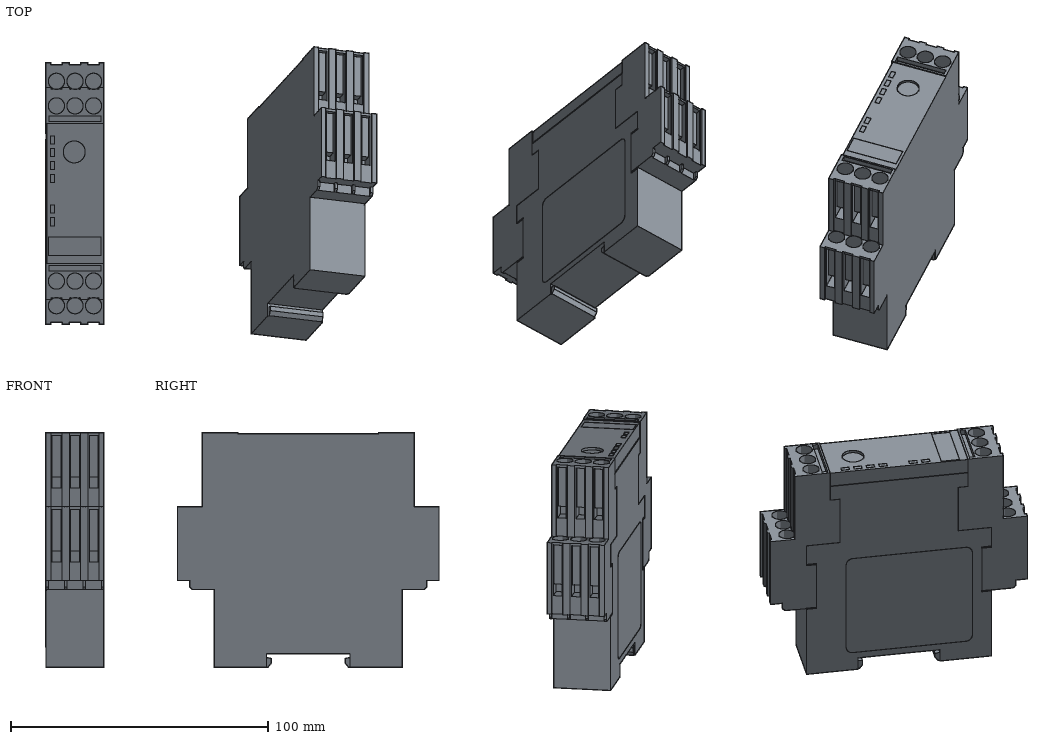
import cadquery as cq

WIDTH = 22.6
LENGTH = 101.6
HEIGHT = 91.1
LEFT = -WIDTH / 2
RIGHT = WIDTH / 2

HOUSING_INSET = 0.1
HOUSING_HALF = 36.6
HOUSING_TOP = 84.8

COVER_INSET = 0.4
COVER_HALF = 27.2
COVER_TOP = 90.7

UPPER_FACE = 41.2
UPPER_FOOT_INNER = 23.4
UPPER_FOOT_TOP = 78.6
UPPER_BOTTOM = 58.8
LOWER_FACE = LENGTH / 2
LOWER_TOP = 62.4
LOWER_INNER = HOUSING_HALF
LOWER_FOOT_INNER = 32.7
LOWER_FOOT_TOP = 49.8
LOWER_BOTTOM = 30.2
PLUG_GAP = 0.4
PLUG_GAP_DEPTH = 0.3

LIP_FACE = 46.1
LIP_TOP = 33.6
LIP_CHAMFER = 1.0
LIP_RECESS_WIDTH = 6.3
LIP_RECESS_DEPTH = 1.4

POLE_PITCH = 7.2
POLE_CENTRE = 0.1
POLES = [POLE_CENTRE - POLE_PITCH, POLE_CENTRE, POLE_CENTRE + POLE_PITCH]
SCREW_DIAMETER = 6.3
SCREW_SETBACK = 7.2
SCREW_DEPTH = 10.2
GROOVE_WIDTH = 4.4
GROOVE_DEPTH = 0.7
SLOT_WIDTH = 3.4
SLOT_DEPTH = 2.0
SLOT_TOP_DROP = 1.0
ENTRY_TOP_DROP = 17.3
ENTRY_BOTTOM_DROP = 21.4
ENTRY_DEPTH = 6.1

TOP_SLOT_WIDTH = 20.1
TOP_SLOT_INNER = 28.0
TOP_SLOT_OUTER = 30.2
TOP_SLOT_DEPTH = 2.0

MARK_DEPTH = 0.1
BUTTON_X = -0.2
BUTTON_Y = 16.2
BUTTON_DIAMETER = 8.5
BUTTON_DEPTH = 1.0
LED_X = -8.6
LED_WIDTH = 1.7
LED_LENGTH = 3.1
LED_PITCH = 5.0
LED_ROWS = [(20.8, 4), (-6.0, 2)]
LABEL_WIDTH = 20.4
LABEL_Y_MIN = -24.1
LABEL_Y_MAX = -16.9

PANEL_Y_MIN = -29.0
PANEL_Y_MAX = 20.9
PANEL_Z_MIN = 7.9
PANEL_Z_MAX = 50.9
PANEL_RADIUS = 2.6

RAIL_HALF = 16.2
RAIL_DEPTH = 5.2
HOOK_TIP = 14.3
HOOK_INSET = 0.5
HOOK_WALL_Z = 3.9
HOOK_TIP_TOP = 3.5
HOOK_TIP_BOTTOM = 1.6
HOOK_BASE = 15.6


def box(x_min, x_max, y_min, y_max, z_min, z_max):
    """Box given by its limits along each axis."""
    size = (x_max - x_min, y_max - y_min, z_max - z_min)
    return cq.Workplane("XY").box(*size, centered=False).translate((x_min, y_min, z_min))


def centred_box(x_centre, width, y_min, y_max, z_min, z_max):
    """Box centred on x_centre along X."""
    return box(x_centre - width / 2, x_centre + width / 2, y_min, y_max, z_min, z_max)


def side_profile(points, x_min, x_max):
    """Closed (Y, Z) outline extruded from x_min to x_max."""
    return cq.Workplane("YZ").workplane(offset=x_min).polyline(points).close().extrude(x_max - x_min)


def both_ends(shape):
    """The shape of the +Y end together with its mirror image at the -Y end."""
    return shape.union(shape.mirror("XZ"))


def make_housing():
    left = LEFT + HOUSING_INSET
    body = box(left, RIGHT, -HOUSING_HALF, HOUSING_HALF, 0, HOUSING_TOP)
    rail = box(left, RIGHT, -RAIL_HALF, RAIL_HALF, 0, RAIL_DEPTH)
    return body.cut(rail)


def make_hook():
    points = [
        (HOUSING_HALF, 0),
        (HOUSING_HALF, HOOK_WALL_Z),
        (RAIL_HALF, HOOK_WALL_Z),
        (HOOK_TIP, HOOK_TIP_TOP),
        (HOOK_TIP, HOOK_TIP_BOTTOM),
        (HOOK_BASE, 0),
    ]
    return side_profile(points, LEFT + HOOK_INSET, RIGHT - HOOK_INSET)


def make_cover():
    cover = box(LEFT + COVER_INSET, RIGHT, -COVER_HALF, COVER_HALF, HOUSING_TOP, COVER_TOP)
    button = (
        cq.Workplane("XY", origin=(BUTTON_X, BUTTON_Y, COVER_TOP))
        .circle(BUTTON_DIAMETER / 2)
        .extrude(-BUTTON_DEPTH)
    )
    cover = cover.cut(button)
    mark_floor = COVER_TOP - MARK_DEPTH
    for first_y, count in LED_ROWS:
        for index in range(count):
            y_min = first_y - index * LED_PITCH - LED_LENGTH / 2
            cover = cover.cut(
                centred_box(LED_X, LED_WIDTH, y_min, y_min + LED_LENGTH, mark_floor, COVER_TOP)
            )
    return cover.cut(centred_box(0, LABEL_WIDTH, LABEL_Y_MIN, LABEL_Y_MAX, mark_floor, COVER_TOP))


def make_terminal_openings(face, top, bottom):
    """Screw hole, front groove, slot and wire entry of each pole, as one cutting tool."""
    groove_back = face - GROOVE_DEPTH
    slot_top = top - SLOT_TOP_DROP
    entry_top = top - ENTRY_TOP_DROP
    entry_bottom = top - ENTRY_BOTTOM_DROP
    openings = cq.Workplane("XY")
    for x in POLES:
        screw = (
            cq.Workplane("XY", origin=(x, face - SCREW_SETBACK, top))
            .circle(SCREW_DIAMETER / 2)
            .extrude(-SCREW_DEPTH)
        )
        groove = centred_box(x, GROOVE_WIDTH, groove_back, face, bottom, top)
        slot = centred_box(x, SLOT_WIDTH, groove_back - SLOT_DEPTH, face, entry_bottom, slot_top)
        entry = centred_box(x, SLOT_WIDTH, groove_back - ENTRY_DEPTH, face, entry_bottom, entry_top)
        openings = openings.add(screw.union(groove).union(slot).union(entry))
    return openings.combine()


def make_upper_block():
    points = [
        (UPPER_FACE, UPPER_BOTTOM),
        (UPPER_FACE, HEIGHT),
        (COVER_HALF, HEIGHT),
        (COVER_HALF, UPPER_FOOT_TOP),
        (UPPER_FOOT_INNER, UPPER_FOOT_TOP),
        (UPPER_FOOT_INNER, UPPER_BOTTOM),
    ]
    block = side_profile(points, LEFT, RIGHT)
    top_slot = centred_box(
        POLE_CENTRE, TOP_SLOT_WIDTH, TOP_SLOT_INNER, TOP_SLOT_OUTER, HEIGHT - TOP_SLOT_DEPTH, HEIGHT
    )
    return block.cut(top_slot)


def make_lower_block():
    points = [
        (LOWER_FACE, LIP_TOP),
        (LOWER_FACE, LOWER_TOP),
        (LOWER_INNER, LOWER_TOP),
        (LOWER_INNER, LOWER_FOOT_TOP),
        (LOWER_FOOT_INNER, LOWER_FOOT_TOP),
        (LOWER_FOOT_INNER, LOWER_BOTTOM),
        (LIP_FACE - LIP_CHAMFER, LOWER_BOTTOM),
        (LIP_FACE, LOWER_BOTTOM + LIP_CHAMFER),
        (LIP_FACE, LIP_TOP),
    ]
    block = side_profile(points, LEFT, RIGHT)
    for x in POLES:
        block = block.cut(
            centred_box(x, LIP_RECESS_WIDTH, LIP_FACE - LIP_RECESS_DEPTH, LIP_FACE, LOWER_BOTTOM, LIP_TOP)
        )
    return block


def make_plug_gap(z_min):
    """Shallow clearance in the housing side, next to the foot of a lower block."""
    return box(LEFT, LEFT + PLUG_GAP_DEPTH, LOWER_FOOT_INNER, HOUSING_HALF, z_min, z_min + PLUG_GAP)


def make_side_panel():
    return (
        box(LEFT, LEFT + HOUSING_INSET, PANEL_Y_MIN, PANEL_Y_MAX, PANEL_Z_MIN, PANEL_Z_MAX)
        .edges("|X")
        .fillet(PANEL_RADIUS)
    )


plug_gaps = make_plug_gap(LOWER_FOOT_TOP).union(make_plug_gap(LOWER_BOTTOM - PLUG_GAP))
upper_openings = make_terminal_openings(UPPER_FACE, HEIGHT, LOWER_TOP)
lower_openings = make_terminal_openings(LOWER_FACE, LOWER_TOP, LIP_TOP)

result = (
    make_housing()
    .cut(both_ends(plug_gaps))
    .union(both_ends(make_hook()))
    .union(make_cover())
    .union(both_ends(make_upper_block()))
    .union(both_ends(make_lower_block()))
    .union(make_side_panel())
    .cut(both_ends(upper_openings))
    .cut(both_ends(lower_openings))
)